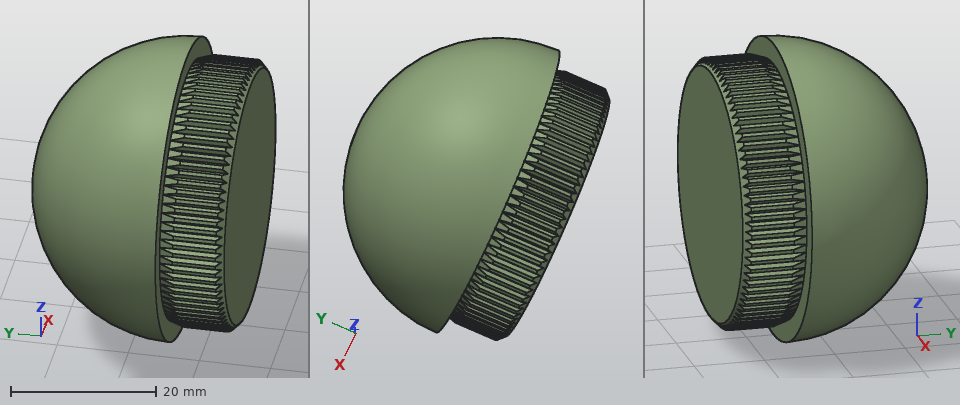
import cadquery as cq
import math


cap_radius = 21.2
spigot_length = 9.0
spigot_radius = 18.85
end_chamfer = 1.0
neck_radius = 18.25
neck_taper_length = 1.95
groove_count = 90
groove_depth = 0.68
groove_angle = 60.0

groove_root_radius = spigot_radius - groove_depth
groove_pitch = math.radians(360.0 / groove_count)
groove_slope = math.tan(math.radians(groove_angle / 2))

tooth_overlap = 0.05
tooth_rise = groove_depth + tooth_overlap


def make_cap():
    """Hemisphere with its flat face at Y = 0 and its crown at +Y."""
    return (
        cq.Workplane("XY")
        .lineTo(cap_radius, 0)
        .radiusArc((0, cap_radius), -cap_radius)
        .close()
        .revolve(360, (0, 0), (0, 1))
    )


def make_plain_spigot():
    """Turned spigot with a tapered neck and a chamfered free end."""
    return (
        cq.Workplane("XY")
        .polyline([
            (0, 0),
            (neck_radius, 0),
            (spigot_radius, -neck_taper_length),
            (spigot_radius, -spigot_length + end_chamfer),
            (spigot_radius - end_chamfer, -spigot_length),
            (0, -spigot_length),
        ])
        .close()
        .revolve(360, (0, 0), (0, 1))
    )


def groove_points(angle):
    """Left lip, root and right lip of the V groove centred at the given angle."""
    lip_radius = groove_root_radius + tooth_rise
    lip_offset = tooth_rise * groove_slope
    corners = [(lip_radius, -lip_offset), (groove_root_radius, 0), (lip_radius, lip_offset)]
    return [
        (
            radial * math.cos(angle) - across * math.sin(angle),
            radial * math.sin(angle) + across * math.cos(angle),
        )
        for radial, across in corners
    ]


def make_toothed_bar():
    """Straight bar along -Y with V grooves around it, one of them facing +Z."""
    outline = []
    for index in range(groove_count):
        outline += groove_points(math.pi / 2 + index * groove_pitch)
    return cq.Workplane("XZ").polyline(outline).close().extrude(spigot_length)


knurled_spigot = make_plain_spigot().intersect(make_toothed_bar())
result = make_cap().union(knurled_spigot)